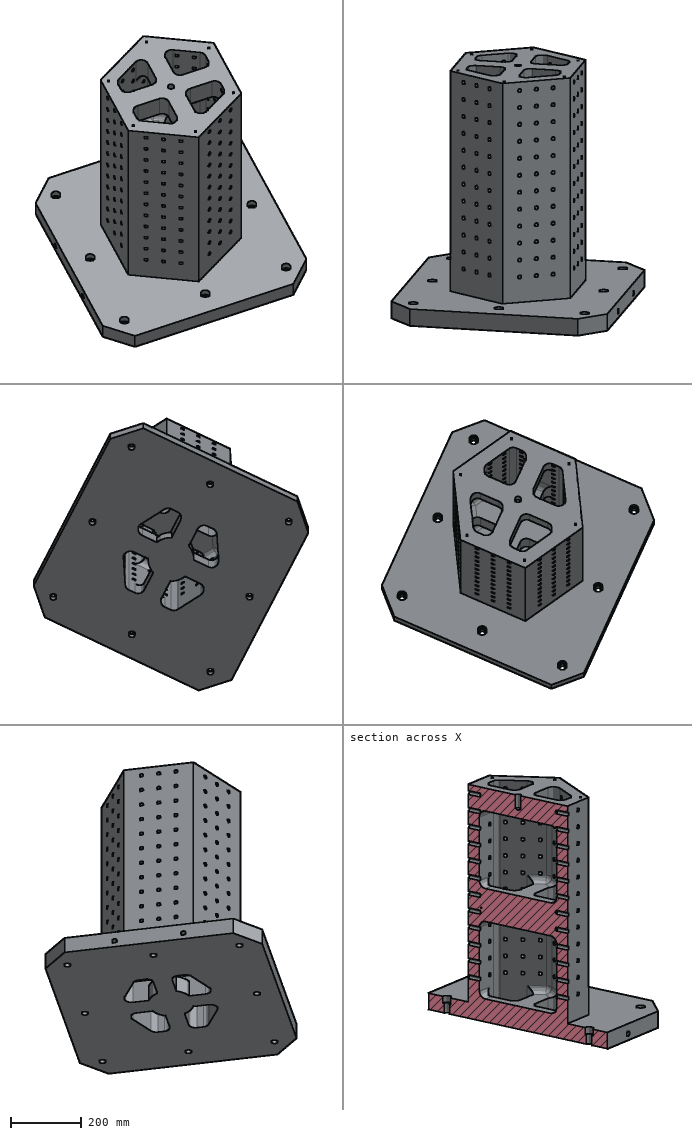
import cadquery as cq
import math

PLATE_SIZE = 630.0
PLATE_THICKNESS = 50.0
PLATE_CORNER_CHAMFER = 70.0

TOTAL_HEIGHT = 700.0
HEX_APOTHEM = 175.0
HEX_SIDES = 6
FACE_STEP = 360.0 / HEX_SIDES
WALL_THICKNESS = 40.0

RIB_HALF_WIDTH = 27.5
POCKET_CORNER_RADIUS = 20.0
HUB_RADIUS = 65.0

CHAMBER_BOTTOMS = (70.0, 400.0)
CHAMBER_HEIGHT = 230.0
CHAMBER_HALF_WIDTH = 60.0
CHAMBER_EDGE_RADIUS = 20.0

DRILL_POINT_ANGLE = 118.0

FIXTURE_HOLE_DIAMETER = 10.11
FIXTURE_HOLE_DEPTH = WALL_THICKNESS
FIXTURE_HOLE_PITCH = 50.0
FIXTURE_HOLE_ROWS = 12
FIXTURE_HOLE_COLUMNS = 3
TOP_ROW_DROP = 25.0

LIFTING_HOLE_DIAMETER = 17.5
LIFTING_HOLE_DEPTH = 40.0
CORNER_HOLE_DIAMETER = 5.0
CORNER_HOLE_DEPTH = 15.0
CORNER_HOLE_INSET = 20.0

MOUNTING_HOLE_SPACING = 250.0
MOUNTING_HOLE_DIAMETER = 18.0
MOUNTING_BORE_DIAMETER = 26.0
MOUNTING_BORE_DEPTH = 20.0

EDGE_HOLE_DIAMETER = 14.0
EDGE_HOLE_DEPTH = 40.0
EDGE_HOLE_OFFSET = 100.0
EDGE_HOLE_HEIGHT = 20.0


def hexagon_radius(apothem):
    return apothem / math.cos(math.pi / HEX_SIDES)


def hexagonal_prism(apothem, bottom, height):
    circumscribed_diameter = 2 * hexagon_radius(apothem)
    outline = cq.Workplane("XY").workplane(offset=bottom).polygon(HEX_SIDES, circumscribed_diameter)
    return outline.extrude(height)


def drilled_hole(diameter, depth, entry, direction):
    """Cylinder with a conical drill point, to be cut from the part."""
    radius = diameter / 2
    point_length = radius / math.tan(math.radians(DRILL_POINT_ANGLE / 2))
    start = cq.Vector(*entry)
    axis = cq.Vector(*direction)
    shaft = cq.Solid.makeCylinder(radius, depth, start, axis)
    point = cq.Solid.makeCone(radius, 0, point_length, start + axis * depth, axis)
    return shaft.fuse(point)


def make_body():
    plate = cq.Workplane("XY").box(PLATE_SIZE, PLATE_SIZE, PLATE_THICKNESS, centered=(True, True, False))
    plate = plate.edges("|Z").chamfer(PLATE_CORNER_CHAMFER)
    column = hexagonal_prism(HEX_APOTHEM, PLATE_THICKNESS, TOTAL_HEIGHT - PLATE_THICKNESS)
    return plate.union(column)


def crossing_bars(half_width):
    """Full-height cross of two bars, one along X and one along Y."""
    bar = cq.Workplane("XY").box(
        2 * HEX_APOTHEM, 2 * half_width, TOTAL_HEIGHT, centered=(True, True, False)
    )
    return bar.union(bar.rotate((0, 0, 0), (0, 0, 1), 90))


def make_pockets():
    """Four through pockets; at plate level they stop at a round central hub."""
    cavity = hexagonal_prism(HEX_APOTHEM - WALL_THICKNESS, 0, TOTAL_HEIGHT)
    pockets = cavity.cut(crossing_bars(RIB_HALF_WIDTH))
    pockets = pockets.edges("|Z").fillet(POCKET_CORNER_RADIUS)
    hub = cq.Workplane("XY").circle(HUB_RADIUS).extrude(PLATE_THICKNESS)
    return pockets.cut(hub)


def make_chamber(bottom):
    """Rounded opening through the ribs, flush with the pocket walls.

    It also clears the corner rounds of the pockets next to the ribs.
    """
    chamber = hexagonal_prism(HEX_APOTHEM - WALL_THICKNESS, bottom, CHAMBER_HEIGHT)
    chamber = chamber.edges().fillet(CHAMBER_EDGE_RADIUS)
    return chamber.intersect(crossing_bars(CHAMBER_HALF_WIDTH))


def fixture_holes():
    """Holes of the -Y face, turned about Z onto all six faces."""
    face_holes = []
    for row in range(FIXTURE_HOLE_ROWS):
        z = TOTAL_HEIGHT - TOP_ROW_DROP - row * FIXTURE_HOLE_PITCH
        for column in range(FIXTURE_HOLE_COLUMNS):
            x = (column - (FIXTURE_HOLE_COLUMNS - 1) / 2) * FIXTURE_HOLE_PITCH
            entry = (x, -HEX_APOTHEM, z)
            face_holes.append(drilled_hole(FIXTURE_HOLE_DIAMETER, FIXTURE_HOLE_DEPTH, entry, (0, 1, 0)))
    return [
        hole.rotate(cq.Vector(0, 0, 0), cq.Vector(0, 0, 1), face * FACE_STEP)
        for face in range(HEX_SIDES)
        for hole in face_holes
    ]


def top_holes():
    down = (0, 0, -1)
    holes = [drilled_hole(LIFTING_HOLE_DIAMETER, LIFTING_HOLE_DEPTH, (0, 0, TOTAL_HEIGHT), down)]
    circle_radius = hexagon_radius(HEX_APOTHEM - CORNER_HOLE_INSET)
    for corner in range(HEX_SIDES):
        angle = math.radians(corner * FACE_STEP)
        entry = (circle_radius * math.cos(angle), circle_radius * math.sin(angle), TOTAL_HEIGHT)
        holes.append(drilled_hole(CORNER_HOLE_DIAMETER, CORNER_HOLE_DEPTH, entry, down))
    return holes


def edge_holes():
    return [
        drilled_hole(EDGE_HOLE_DIAMETER, EDGE_HOLE_DEPTH, (x, -PLATE_SIZE / 2, EDGE_HOLE_HEIGHT), (0, 1, 0))
        for x in (-EDGE_HOLE_OFFSET, EDGE_HOLE_OFFSET)
    ]


def cut_mounting_holes(body):
    steps = (-MOUNTING_HOLE_SPACING, 0, MOUNTING_HOLE_SPACING)
    centers = [(x, y) for x in steps for y in steps if (x, y) != (0, 0)]
    plate_top = cq.Workplane("XY").workplane(offset=PLATE_THICKNESS).pushPoints(centers)
    through = plate_top.circle(MOUNTING_HOLE_DIAMETER / 2).extrude(-PLATE_THICKNESS)
    counterbores = plate_top.circle(MOUNTING_BORE_DIAMETER / 2).extrude(-MOUNTING_BORE_DEPTH)
    return body.cut(through).cut(counterbores)


body = make_body().cut(make_pockets())
for chamber_bottom in CHAMBER_BOTTOMS:
    body = body.cut(make_chamber(chamber_bottom))
body = cut_mounting_holes(body)
drilled_holes = cq.Compound.makeCompound(fixture_holes() + top_holes() + edge_holes())
result = body.cut(cq.Workplane(drilled_holes))